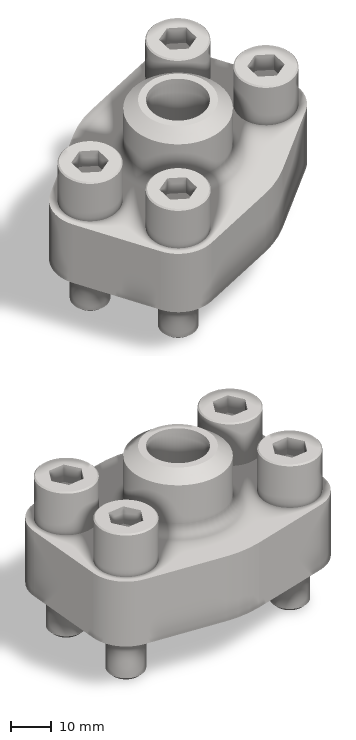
import cadquery as cq
import math

plate_length = 71.0
plate_width = 52.9
plate_thickness = 18.95
bolt_x = 11.9
bolt_y = 25.4
corner_radius = plate_length / 2 - bolt_y
side_radius = 27.5

neck_diameter = 26.9
neck_height = 17.0
neck_chamfer_height = 2.85
neck_tip_diameter = 19.6
neck_fillet = 2.85
bore_diameter = 15.7

head_diameter = 16.0
head_height = 12.5
head_edge_chamfer = 0.35
shank_diameter = 10.0
shank_projection = 13.55
shank_chamfer = 1.0
socket_flats = 8.0
socket_depth = 5.05


def polar(center, radius, angle):
    return (center[0] + radius * math.cos(angle), center[1] + radius * math.sin(angle))


def make_plate():
    """Plate with straight flanks tangent to the side and corner arcs."""
    corner = (bolt_x, bolt_y)
    half_width = plate_width / 2
    side_center = (half_width - side_radius, 0)
    span_x = bolt_x - side_center[0]
    flank_angle = math.atan2(bolt_y, span_x) - math.acos(
        (side_radius - corner_radius) / math.hypot(span_x, bolt_y)
    )
    mid_angle = (flank_angle + math.pi / 2) / 2
    side_end = polar(side_center, side_radius, flank_angle)
    corner_start = polar(corner, corner_radius, flank_angle)
    corner_mid = polar(corner, corner_radius, mid_angle)
    corner_end = polar(corner, corner_radius, math.pi / 2)

    def turned(point):
        return (-point[0], -point[1])

    def mirrored(point):
        return (-point[0], point[1])

    def flipped(point):
        return (point[0], -point[1])

    return (
        cq.Workplane("XY")
        .moveTo(*flipped(side_end))
        .threePointArc((half_width, 0), side_end)
        .lineTo(*corner_start)
        .threePointArc(corner_mid, corner_end)
        .lineTo(*mirrored(corner_end))
        .threePointArc(mirrored(corner_mid), mirrored(corner_start))
        .lineTo(*mirrored(side_end))
        .threePointArc((-half_width, 0), turned(side_end))
        .lineTo(*turned(corner_start))
        .threePointArc(turned(corner_mid), turned(corner_end))
        .lineTo(*flipped(corner_end))
        .threePointArc(flipped(corner_mid), flipped(corner_start))
        .close()
        .extrude(plate_thickness)
    )


def make_neck():
    """Revolved neck with a beveled tip and a concave fillet at its root."""
    radius = neck_diameter / 2
    top = plate_thickness + neck_height
    fillet_mid_offset = neck_fillet * (1 - math.sqrt(0.5))
    return (
        cq.Workplane("XZ")
        .lineTo(radius + neck_fillet, 0)
        .lineTo(radius + neck_fillet, plate_thickness)
        .threePointArc(
            (radius + fillet_mid_offset, plate_thickness + fillet_mid_offset),
            (radius, plate_thickness + neck_fillet),
        )
        .lineTo(radius, top - neck_chamfer_height)
        .lineTo(neck_tip_diameter / 2, top)
        .lineTo(0, top)
        .close()
        .revolve(360, (0, 0, 0), (0, 1, 0))
    )


def make_bolt():
    """Socket head bolt on the Z axis, its head seated on the plate."""
    head_top = plate_thickness + head_height
    head = (
        cq.Workplane("XY", origin=(0, 0, plate_thickness))
        .circle(head_diameter / 2)
        .extrude(head_height)
        .faces(">Z")
        .chamfer(head_edge_chamfer)
    )
    shank = (
        cq.Workplane("XY", origin=(0, 0, -shank_projection))
        .circle(shank_diameter / 2)
        .extrude(shank_projection + plate_thickness)
        .faces("<Z")
        .chamfer(shank_chamfer)
    )
    socket = (
        cq.Workplane("XY", origin=(0, 0, head_top - socket_depth))
        .polygon(6, socket_flats, circumscribed=True)
        .extrude(socket_depth)
    )
    return head.union(shank).cut(socket)


result = make_plate().union(make_neck())

bore = cq.Workplane("XY").circle(bore_diameter / 2).extrude(plate_thickness + neck_height)
result = result.cut(bore)

bolt = make_bolt()
for x in (-bolt_x, bolt_x):
    for y in (-bolt_y, bolt_y):
        result = result.union(bolt.translate((x, y, 0)))